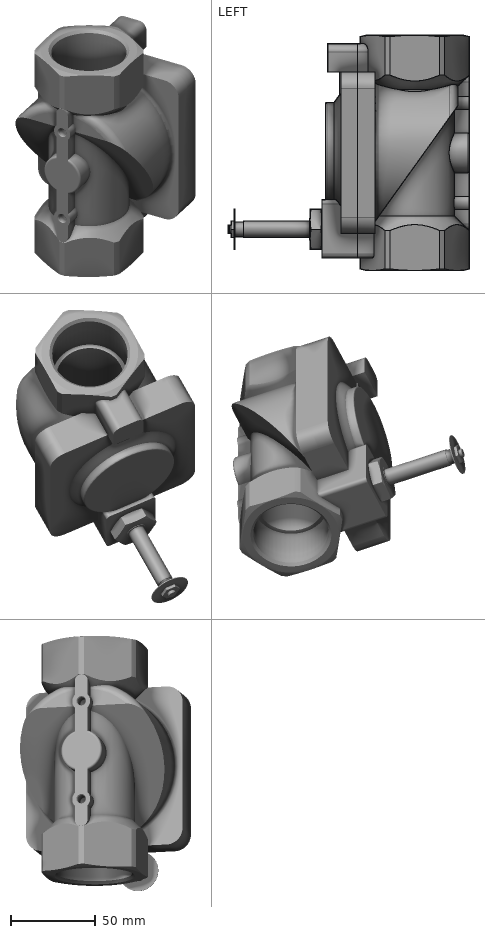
import cadquery as cq
import math


PIPE_LENGTH = 140.0
HEX_FLATS = 58.0
HEX_TURNED_RADIUS = 32.5
END_CHAMFER_RADIUS = 28.75
END_CHAMFER_ANGLE = 14.0
HEX_CORNER_LENGTH = 23.8
NECK_RADIUS = 24.0
BORE_DIAMETER = 40.0
SOCKET_DIAMETER = 44.84
SOCKET_DEPTH = 29.0
SOCKET_MOUTH_CHAMFER = 1.6

CHAMBER_RADIUS = 43.6
CHAMBER_FRONT_Y = -25.8
CHAMBER_FRONT_FILLET = 5.0
CHAMBER_ROOT_FILLET = 1.8
SLOPE_TOP_Z = 28.2
SLOPE_ANGLE = 54.4

FLANGE_SIZE = 96.0
FLANGE_CORNER_RADIUS = 9.6
FLANGE_FRONT_Y = 23.6
SPLIT_Y = 34.0
FLANGE_BACK_Y = 44.0

FOOT_Y = -HEX_TURNED_RADIUS
RIB_WIDTH = 7.8
RIB_LENGTH = 92.2
RIB_END_RADIUS = 3.85
RIB_ROOT_Y = -19.0
FOOT_BOSS_RADIUS = 12.5
FOOT_BOSS_FILLET = 1.2
PAD_RADIUS = 5.5
PAD_SPACING = 59.5
HOLE_DIAMETER = 5.0
HOLE_MOUTH_DIAMETER = 6.0
HOLE_DEPTH = 8.0

UPPER_LUG_HALF_WIDTH = 10.0
UPPER_LUG_TOP_Z = 65.0
UPPER_LUG_BACK_Y = 51.8
UPPER_LUG_RADIUS = 5.0
LOWER_LUG_HALF_WIDTH = 16.25
LOWER_LUG_TOP_Z = -27.8
LOWER_LUG_BOTTOM_Z = -62.6
LOWER_LUG_BACK_Y = 55.3
LOWER_LUG_RADIUS = 2.5

DOME_RADIUS = 30.0
DOME_FOOT_RADIUS = 35.5
DOME_CONE_Y = 48.0
DOME_TOP_Y = 53.1
DOME_TOP_FILLET = 0.9
WEB_HALF_WIDTH = 4.0
WEB_BACK_Y = 44.9

TUBE_Z = -45.5
NUT_FLATS = 24.0
NUT_HEIGHT = 6.95
NUT_FACE_DIAMETER = 23.5
NUT_CHAMFER_ANGLE = 15.0
COLLAR_DIAMETER = 12.6
COLLAR_HEIGHT = 0.25
TUBE_DIAMETER = 10.0
TUBE_END_Y = 101.8
TIP_DIAMETER = 9.0
DISC_DIAMETER = 24.0
DISC_BASE_Y = 107.0
DISC_THICKNESS = 0.5
TOP_NUT_FLATS = 10.0
TOP_NUT_END_Y = 109.2
STUD_NECK_DIAMETER = 4.92
STUD_NECK_END_Y = 110.2
STUD_DIAMETER = 5.0
STUD_END_Y = 111.0


def cylinder_y(diameter, y_start, y_end, z=0.0):
    plane = cq.Plane(origin=(0, y_start, z), xDir=(1, 0, 0), normal=(0, 1, 0))
    return cq.Workplane(plane).circle(diameter / 2).extrude(y_end - y_start)


def hexagon_y(flats, y_start, y_end, z):
    """Hexagonal prism along Y with corners on the +X and -X sides."""
    plane = cq.Plane(origin=(0, y_start, z), xDir=(1, 0, 0), normal=(0, 1, 0))
    corners_diameter = flats / math.cos(math.radians(30))
    return cq.Workplane(plane).polygon(6, corners_diameter).extrude(y_end - y_start)


def block(half_width, y_start, y_end, z_start, z_end):
    return (
        cq.Workplane("XY")
        .box(2 * half_width, y_end - y_start, z_end - z_start, centered=(True, False, False))
        .translate((0, y_start, z_start))
    )


def flange_plate(y_start, y_end):
    half = FLANGE_SIZE / 2
    return block(half, y_start, y_end, -half, half).edges("|Y").fillet(FLANGE_CORNER_RADIUS)


def upper_lug(y_start, y_end):
    lug = block(UPPER_LUG_HALF_WIDTH, y_start, y_end, FLANGE_SIZE / 2, UPPER_LUG_TOP_Z)
    return lug.edges("|Y and >Z").fillet(UPPER_LUG_RADIUS)


def lower_lug(y_start, y_end):
    lug = block(LOWER_LUG_HALF_WIDTH, y_start, y_end, LOWER_LUG_BOTTOM_Z, LOWER_LUG_TOP_Z)
    return lug.edges("|Y").fillet(LOWER_LUG_RADIUS)


def upper_connection():
    """Hexagonal upper half of the pipe, turned to shape, without its bore."""
    end_z = PIPE_LENGTH / 2
    chamfer_drop = (HEX_TURNED_RADIUS - END_CHAMFER_RADIUS) * math.tan(math.radians(END_CHAMFER_ANGLE))
    cone_outer_z = end_z - HEX_CORNER_LENGTH
    cone_inner_z = cone_outer_z - (HEX_TURNED_RADIUS - NECK_RADIUS)
    turned = (
        cq.Workplane("XZ")
        .polyline([
            (0, 0),
            (NECK_RADIUS, 0),
            (NECK_RADIUS, cone_inner_z),
            (HEX_TURNED_RADIUS, cone_outer_z),
            (HEX_TURNED_RADIUS, end_z - chamfer_drop),
            (END_CHAMFER_RADIUS, end_z),
            (0, end_z),
        ])
        .close()
        .revolve(360, (0, 0, 0), (0, 1, 0))
    )
    corners_diameter = HEX_FLATS / math.cos(math.radians(30))
    prism = cq.Workplane("XY").polygon(6, corners_diameter).extrude(end_z)
    return turned.intersect(prism.rotate((0, 0, 0), (0, 0, 1), 30))


def pipe_bore():
    """Through bore with a wider, chamfered socket at each end."""
    end_z = PIPE_LENGTH / 2
    socket_radius = SOCKET_DIAMETER / 2
    half = (
        cq.Workplane("XZ")
        .polyline([
            (0, 0),
            (BORE_DIAMETER / 2, 0),
            (BORE_DIAMETER / 2, end_z - SOCKET_DEPTH),
            (socket_radius, end_z - SOCKET_DEPTH),
            (socket_radius, end_z - SOCKET_MOUTH_CHAMFER),
            (socket_radius + SOCKET_MOUTH_CHAMFER, end_z),
            (0, end_z),
        ])
        .close()
        .revolve(360, (0, 0, 0), (0, 1, 0))
    )
    return half.union(half.mirror("XY"))


def chamber():
    """Round chamber with its lower front cut away along a sloping plane."""
    root = CHAMBER_ROOT_FILLET
    front = CHAMBER_FRONT_FILLET
    diagonal = math.sqrt(0.5)
    outline = (
        cq.Workplane("XY")
        .moveTo(0, CHAMBER_FRONT_Y)
        .lineTo(CHAMBER_RADIUS - front, CHAMBER_FRONT_Y)
        .threePointArc(
            (CHAMBER_RADIUS - front * (1 - diagonal), CHAMBER_FRONT_Y + front * (1 - diagonal)),
            (CHAMBER_RADIUS, CHAMBER_FRONT_Y + front),
        )
        .lineTo(CHAMBER_RADIUS, FLANGE_FRONT_Y - root)
        .threePointArc(
            (CHAMBER_RADIUS + root * (1 - diagonal), FLANGE_FRONT_Y - root * (1 - diagonal)),
            (CHAMBER_RADIUS + root, FLANGE_FRONT_Y),
        )
        .lineTo(0, FLANGE_FRONT_Y)
        .close()
    )
    drop = (FLANGE_FRONT_Y - CHAMBER_FRONT_Y) * math.tan(math.radians(SLOPE_ANGLE))
    below_slope = (
        cq.Workplane("YZ")
        .polyline([
            (CHAMBER_FRONT_Y, SLOPE_TOP_Z),
            (FLANGE_FRONT_Y, SLOPE_TOP_Z - drop),
            (FLANGE_FRONT_Y, -FLANGE_SIZE),
            (CHAMBER_FRONT_Y, -FLANGE_SIZE),
        ])
        .close()
        .extrude(FLANGE_SIZE, both=True)
    )
    return outline.revolve(360, (0, 0, 0), (0, 1, 0)).cut(below_slope)


def foot():
    """Rib along the pipe with a central boss and two screw pads."""
    rib = block(RIB_WIDTH / 2, FOOT_Y, RIB_ROOT_Y, -RIB_LENGTH / 2, RIB_LENGTH / 2)
    rib = rib.edges("|Y").fillet(RIB_END_RADIUS)
    boss = cylinder_y(2 * FOOT_BOSS_RADIUS, FOOT_Y, RIB_ROOT_Y)
    rib = rib.union(boss.faces("<Y").edges().fillet(FOOT_BOSS_FILLET))
    for side in (-1, 1):
        rib = rib.union(cylinder_y(2 * PAD_RADIUS, FOOT_Y, RIB_ROOT_Y, side * PAD_SPACING / 2))
    return rib


def screw_hole(z):
    """Drilled hole with a chamfered mouth and a conical bottom."""
    radius = HOLE_DIAMETER / 2
    mouth_radius = HOLE_MOUTH_DIAMETER / 2
    bottom_y = FOOT_Y + HOLE_DEPTH
    return (
        cq.Workplane("XY")
        .polyline([
            (0, FOOT_Y),
            (mouth_radius, FOOT_Y),
            (radius, FOOT_Y + mouth_radius - radius),
            (radius, bottom_y),
            (0, bottom_y + radius * math.tan(math.radians(30))),
        ])
        .close()
        .revolve(360, (0, 0, 0), (0, 1, 0))
        .translate((0, 0, z))
    )


def make_housing():
    connection = upper_connection()
    body = connection.union(connection.mirror("XY"))
    body = body.union(chamber())
    body = body.union(flange_plate(FLANGE_FRONT_Y, SPLIT_Y))
    body = body.union(upper_lug(FLANGE_FRONT_Y, SPLIT_Y))
    body = body.union(lower_lug(FLANGE_FRONT_Y, SPLIT_Y))
    body = body.union(foot())
    body = body.cut(pipe_bore())
    for side in (-1, 1):
        body = body.cut(screw_hole(side * PAD_SPACING / 2))
    return body


def dome():
    shape = (
        cq.Workplane("XY")
        .polyline([
            (0, SPLIT_Y),
            (DOME_FOOT_RADIUS, SPLIT_Y),
            (DOME_FOOT_RADIUS, FLANGE_BACK_Y),
            (DOME_RADIUS, DOME_CONE_Y),
            (DOME_RADIUS, DOME_TOP_Y),
            (0, DOME_TOP_Y),
        ])
        .close()
        .revolve(360, (0, 0, 0), (0, 1, 0))
    )
    return shape.faces(">Y").edges().fillet(DOME_TOP_FILLET)


def tube_nut():
    """Hexagon nut with its corners turned off at a shallow angle on both faces."""
    face_radius = NUT_FACE_DIAMETER / 2
    corner_radius = NUT_FLATS / 2 / math.cos(math.radians(30))
    drop = (corner_radius - face_radius) * math.tan(math.radians(NUT_CHAMFER_ANGLE))
    start_y = LOWER_LUG_BACK_Y
    end_y = start_y + NUT_HEIGHT
    turned = (
        cq.Workplane("XY")
        .polyline([
            (0, start_y),
            (face_radius, start_y),
            (corner_radius, start_y + drop),
            (corner_radius, end_y - drop),
            (face_radius, end_y),
            (0, end_y),
        ])
        .close()
        .revolve(360, (0, 0, 0), (0, 1, 0))
        .translate((0, 0, TUBE_Z))
    )
    return hexagon_y(NUT_FLATS, start_y, end_y, TUBE_Z).intersect(turned)


def armature_tube():
    """Nut, tube, retaining disc, top nut and stud stacked along Y."""
    nut_end_y = LOWER_LUG_BACK_Y + NUT_HEIGHT
    disc_end_y = DISC_BASE_Y + DISC_THICKNESS
    tube = tube_nut()
    tube = tube.union(cylinder_y(COLLAR_DIAMETER, nut_end_y, nut_end_y + COLLAR_HEIGHT, TUBE_Z))
    tube = tube.union(cylinder_y(TUBE_DIAMETER, nut_end_y, TUBE_END_Y, TUBE_Z))
    tube = tube.union(cylinder_y(TIP_DIAMETER, TUBE_END_Y, DISC_BASE_Y, TUBE_Z))
    tube = tube.union(cylinder_y(DISC_DIAMETER, DISC_BASE_Y, disc_end_y, TUBE_Z))
    tube = tube.union(hexagon_y(TOP_NUT_FLATS, disc_end_y, TOP_NUT_END_Y, TUBE_Z))
    tube = tube.union(cylinder_y(STUD_NECK_DIAMETER, TOP_NUT_END_Y, STUD_NECK_END_Y, TUBE_Z))
    return tube.union(cylinder_y(STUD_DIAMETER, STUD_NECK_END_Y, STUD_END_Y, TUBE_Z))


def make_cover():
    body = flange_plate(SPLIT_Y, FLANGE_BACK_Y)
    body = body.union(dome())
    body = body.union(upper_lug(SPLIT_Y, UPPER_LUG_BACK_Y))
    body = body.union(block(WEB_HALF_WIDTH, SPLIT_Y, WEB_BACK_Y, 0, FLANGE_SIZE / 2))
    body = body.union(lower_lug(SPLIT_Y, LOWER_LUG_BACK_Y))
    return body.union(armature_tube())


housing = make_housing()
cover = make_cover()

result = cq.Compound.makeCompound([housing.val(), cover.val()])